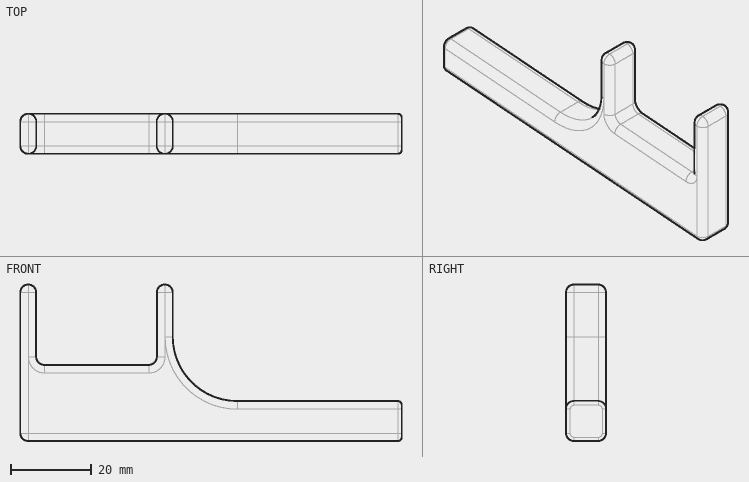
import cadquery as cq

length = 95.0
thickness = 10.0
height = 39.0

ledge_height = 19.0
arm_height = 10.0

post_width = 4.0
second_post_start = 34.0
second_post_end = second_post_start + post_width

ledge_corner_radius = 2.0
arm_curve_radius = 16.0

post_flat = 0.001
edge_radius = (post_width - post_flat) / 2
arm_end_radius = 1.0


def make_profile():
    """Bracket outline in the XZ plane, extruded along Y about the mid-plane."""
    return (
        cq.Workplane("XZ")
        .lineTo(length, 0)
        .lineTo(length, arm_height)
        .lineTo(second_post_end + arm_curve_radius, arm_height)
        .radiusArc((second_post_end, arm_height + arm_curve_radius), arm_curve_radius)
        .lineTo(second_post_end, height)
        .lineTo(second_post_start, height)
        .lineTo(second_post_start, ledge_height + ledge_corner_radius)
        .radiusArc((second_post_start - ledge_corner_radius, ledge_height), ledge_corner_radius)
        .lineTo(post_width + ledge_corner_radius, ledge_height)
        .radiusArc((post_width, ledge_height + ledge_corner_radius), ledge_corner_radius)
        .lineTo(post_width, height)
        .lineTo(0, height)
        .close()
        .extrude(thickness / 2, both=True)
    )


def round_edges(body):
    """Round the side, bottom and post-tip edges, with a smaller radius at the arm end."""
    end_edges = body.faces(">X").edges().vals()
    side_edges = body.faces("<Y or >Y").edges().vals()
    tip_edges = body.faces(">Z").edges("|Y").vals()
    corner_edges = body.faces("<X").edges("<Z").vals()
    main_edges = [
        edge
        for edge in side_edges + tip_edges + corner_edges
        if not any(edge.isSame(end_edge) for end_edge in end_edges)
    ]
    rounded = body.newObject(main_edges).fillet(edge_radius)
    return rounded.faces(">X").edges().fillet(arm_end_radius)


result = round_edges(make_profile())